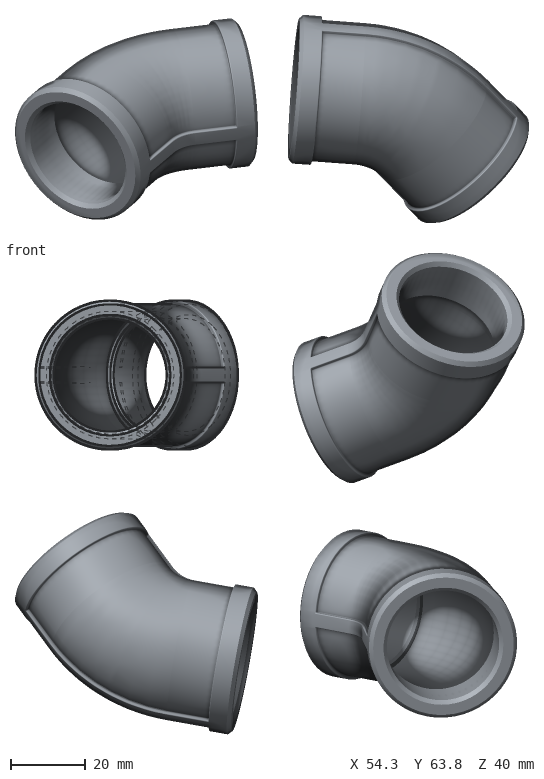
import cadquery as cq
import math

overall_length = 63.75
bend_angle = 45.0
leg_length = 17.5
rim_diameter = 40.0
rim_length = 6.0
rim_chamfer = 1.0
body_diameter = 38.0
rib_width = 4.0
edge_fillet = 0.25

bend_bore_diameter = 34.2
socket_diameter = 30.3
socket_depth = 13.65
mouth_chamfer = 1.0
inner_chamfer = 0.65

cutter_diameter = rim_diameter + 2.55
slab_size = 4 * overall_length
center_tolerance = 0.05

sine = math.sin(math.radians(bend_angle))
cosine = math.cos(math.radians(bend_angle))
end_face_radius = rim_diameter / 2 - rim_chamfer
straight_reach = leg_length * (1 + cosine) + end_face_radius * sine
bend_radius = (overall_length - straight_reach) / sine

start_center = cq.Vector(0, 0, 0)
start_inward = cq.Vector(0, 1, 0)
end_center = cq.Vector(
    bend_radius * (1 - cosine) + leg_length * sine,
    bend_radius * sine + leg_length * (1 + cosine),
    0,
)
end_inward = cq.Vector(-sine, -cosine, 0)
ends = [(start_center, start_inward), (end_center, end_inward)]


def bent_rod(diameter):
    """Solid round bar along the whole centre line."""
    bend_start = (0, leg_length)
    bend_end = (bend_radius * (1 - cosine), leg_length + bend_radius * sine)
    half_angle = math.radians(bend_angle / 2)
    bend_middle = (
        bend_radius * (1 - math.cos(half_angle)),
        leg_length + bend_radius * math.sin(half_angle),
    )
    center_line = (
        cq.Workplane("XY")
        .lineTo(*bend_start)
        .threePointArc(bend_middle, bend_end)
        .lineTo(end_center.x, end_center.y)
    )
    return cq.Workplane("XZ").circle(diameter / 2).sweep(center_line)


def at_end(center, inward):
    """Workplane on an end face, looking into the fitting."""
    return cq.Workplane(cq.Plane(origin=center, xDir=(0, 0, 1), normal=inward))


def side_recesses():
    """Everything to remove around the body, leaving both rims and the two flat-sided ribs."""
    recesses = bent_rod(cutter_diameter).cut(bent_rod(body_diameter))
    for center, inward in ends:
        rim_space = at_end(center, inward).circle(cutter_diameter).extrude(rim_length)
        recesses = recesses.cut(rim_space)
    rib_space = cq.Workplane("XY").box(slab_size, slab_size, rib_width)
    return recesses.cut(rib_space)


def is_end_face(face):
    """True for the flat round face at either end of the elbow."""
    return any((face.Center() - center).Length < center_tolerance for center, _ in ends)


def outer_shape():
    """Solid elbow with chamfered rims, ribs and rounded recess edges."""
    rod = bent_rod(rim_diameter)
    rod = rod.faces("%PLANE").edges().chamfer(rim_chamfer)
    shape = rod.cut(side_recesses())

    step_faces = shape.faces("%PLANE").filter(lambda face: not is_end_face(face))
    return step_faces.edges().fillet(edge_fillet)


def socket_plug():
    """Revolved cutter for one socket: mouth chamfer, socket bore, inner chamfer."""
    radius = socket_diameter / 2
    return (
        cq.Workplane("XY")
        .lineTo(radius + mouth_chamfer, 0)
        .lineTo(radius, mouth_chamfer)
        .lineTo(radius, socket_depth - inner_chamfer)
        .lineTo(radius + inner_chamfer, socket_depth)
        .lineTo(0, socket_depth)
        .close()
        .revolve(360, (0, 0), (0, 1))
    )


def bore():
    """Wide bore through the bend with a narrower socket at each end."""
    shape = bent_rod(bend_bore_diameter)
    for center, inward in ends:
        socket_space = at_end(center, inward).circle(rim_diameter / 2).extrude(socket_depth)
        shape = shape.cut(socket_space)
    plug = socket_plug()
    far_plug = plug.rotate((0, 0, 0), (0, 0, 1), 180 - bend_angle).translate(end_center)
    return shape.union(plug).union(far_plug)


result = outer_shape().cut(bore())